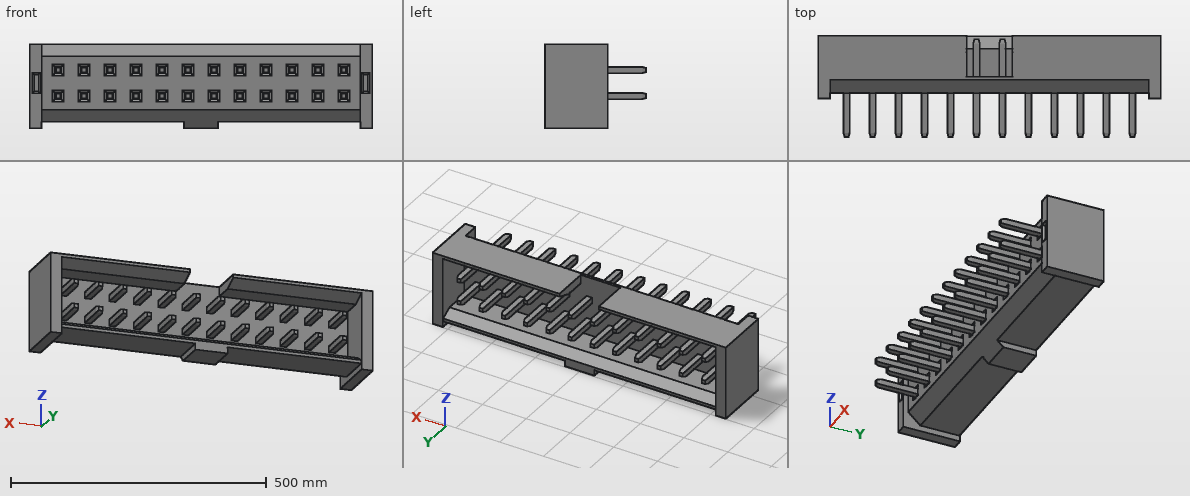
import cadquery as cq

length = 670.0
height = 165.0
depth = 123.5
end_wall = 23.5
foot_drop = 13.0

core_front = 11.0
core_bevel_depth = 26.0
core_bevel_height = 24.0

floor_y = 43.0
wall = 19.5
lead_in_height = 13.0
upper_lead_in = 33.0
lower_lead_in = 24.0
lower_lip_setback = 1.5

notch_width = 90.0
key_width = 67.0

columns = 12
rows = 2
column_span = 559.0
pitch = column_span / (columns - 1)
pin_size = 13.0
pin_front = -75.0
pin_back = 116.0
tip_length = 8.0
tip_size = 8.0
hole_size = 23.0
hole_bevel = (hole_size - pin_size) / 2

pocket_width = 17.0
pocket_height = 41.0
pocket_bevel = 4.0
pocket_depth = 20.0
pocket_edge_gap = 5.0

top = height / 2
bottom = -height / 2
core_bottom = bottom + foot_drop
core_mid = (top + core_bottom) / 2
core_length = length - 2 * end_wall
lower_lip_y = depth - lower_lip_setback


def box(x_range, y_range, z_range):
    """Box between the given limits."""
    spans = [b - a for a, b in (x_range, y_range, z_range)]
    corner = (x_range[0], y_range[0], z_range[0])
    return cq.Workplane("XY").box(*spans, centered=False).translate(corner)


def extrude_along_x(points, width):
    """Prism with a (y, z) outline, centred on X = 0."""
    return cq.Workplane("YZ").polyline(points).close().extrude(width / 2, both=True)


def taper(x, z, y_start, size_start, y_end, size_end):
    """Rectangular frustum along +Y; each size is (x size, z size)."""
    return (
        cq.Workplane("XZ", origin=(x, y_start, z))
        .rect(*size_start)
        .workplane(offset=y_start - y_end)
        .rect(*size_end)
        .loft(ruled=True)
    )


def make_core():
    """Long block with bevelled front edges at top and bottom."""
    bevel_y = core_front + core_bevel_depth
    return extrude_along_x(
        [
            (core_front, core_bottom + core_bevel_height),
            (bevel_y, core_bottom),
            (lower_lip_y, core_bottom),
            (lower_lip_y, core_mid),
            (depth, core_mid),
            (depth, top),
            (bevel_y, top),
            (core_front, top - core_bevel_height),
        ],
        core_length,
    )


def make_key():
    """Polarising rib under the core, its front in the plane of the lower bevel."""
    slope = core_bevel_depth / core_bevel_height
    front_y = core_front + core_bevel_depth
    return extrude_along_x(
        [
            (front_y, core_bottom),
            (front_y + foot_drop * slope, bottom),
            (lower_lip_y, bottom),
            (lower_lip_y, core_bottom),
        ],
        key_width,
    )


def make_cavity():
    """Mating cavity with lead-in slopes along its long walls."""
    low = core_bottom + wall
    high = top - wall
    return extrude_along_x(
        [
            (floor_y, low),
            (lower_lip_y - lower_lead_in, low),
            (lower_lip_y, low - lead_in_height),
            (depth, low - lead_in_height),
            (depth, high + lead_in_height),
            (depth - upper_lead_in, high),
            (floor_y, high),
        ],
        core_length,
    )


def make_pocket(x):
    """Blind pocket with a bevelled mouth."""
    mouth = (pocket_width, pocket_height)
    inner = (pocket_width - 2 * pocket_bevel, pocket_height - 2 * pocket_bevel)
    bevel = taper(x, core_mid, 0, mouth, pocket_bevel, inner)
    return bevel.union(taper(x, core_mid, pocket_bevel, inner, pocket_depth, inner))


def make_pin(x, z):
    """Square pin with a tapered tip at each end."""
    body = (pin_size, pin_size)
    tip = (tip_size, tip_size)
    front_shoulder = pin_front + tip_length
    back_shoulder = pin_back - tip_length
    return (
        taper(x, z, pin_front, tip, front_shoulder, body)
        .union(taper(x, z, front_shoulder, body, back_shoulder, body))
        .union(taper(x, z, back_shoulder, body, pin_back, tip))
    )


housing = make_core().union(make_key())
for side in (-1, 1):
    inner_x = side * (length / 2 - end_wall)
    outer_x = side * length / 2
    housing = housing.union(box(sorted((inner_x, outer_x)), (0, depth), (bottom, top)))

housing = housing.cut(make_cavity())
notch = box((-notch_width / 2, notch_width / 2), (floor_y, depth), (core_mid, top))
housing = housing.cut(notch)

pocket_x = length / 2 - pocket_edge_gap - pocket_width / 2
for side in (-1, 1):
    housing = housing.cut(make_pocket(side * pocket_x))

pin_places = [
    ((column - (columns - 1) / 2) * pitch, core_mid + (row - (rows - 1) / 2) * pitch)
    for column in range(columns)
    for row in range(rows)
]
hole_mouth = (hole_size, hole_size)
hole_root = (pin_size, pin_size)
hole_end = core_front + hole_bevel
for x, z in pin_places:
    housing = housing.cut(taper(x, z, core_front, hole_mouth, hole_end, hole_root))
    housing = housing.union(make_pin(x, z))

result = housing